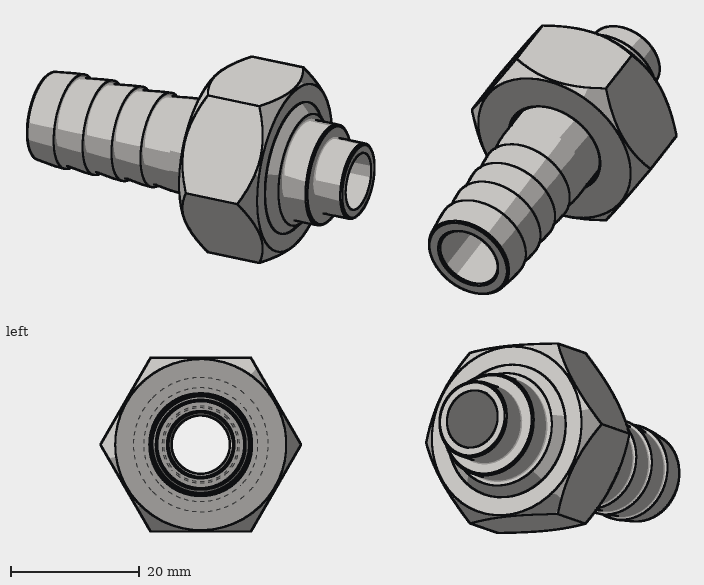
import cadquery as cq
import math

overall_length = 54.0
nut_start = 29.5
nut_length = 13.5
nut_end = nut_start + nut_length
thread_end = 44.5
shoulder_end = 49.0

hose_diameter = 15.0
barb_root_diameter = 14.0
hose_bore = 10.0
barbed_length = 25.0
barb_count = 5
barb_bulge = 0.09
barb_fillet = 0.45
collar_length = 3.25

across_flats = 27.0
nut_face_diameter = 26.55
nut_neck_bore = 15.5
nut_wall = 3.25

thread_diameter = 20.9
thread_tip_diameter = 17.7
shoulder_diameter = 16.0
spigot_diameter = 12.0
nipple_bore = 9.0
step_fillet = 0.5

edge_chamfer = 0.25

hose_radius = hose_diameter / 2
root_radius = barb_root_diameter / 2
thread_radius = thread_diameter / 2
barb_pitch = barbed_length / barb_count
collar_start = nut_start + nut_wall
collar_end = collar_start + collar_length


def revolve_about_x(profile):
    """Turn a closed XY profile around the X axis."""
    return profile.close().revolve(360, (0, 0, 0), (1, 0, 0))


def concave_fillet(profile, x, radius, size):
    """Blend from a face at x into a cylinder of the given radius on its +X side."""
    inset = size * (1 - math.sqrt(0.5))
    return profile.threePointArc((x + inset, radius + inset), (x + size, radius))


def make_hose_tail():
    bore_radius = hose_bore / 2
    profile = (
        cq.Workplane("XY")
        .moveTo(edge_chamfer, bore_radius)
        .lineTo(0, bore_radius + edge_chamfer)
        .lineTo(0, root_radius - edge_chamfer)
        .lineTo(edge_chamfer, root_radius)
    )
    flank_start = edge_chamfer
    for barb in range(barb_count):
        crest = (barb + 1) * barb_pitch
        middle = ((flank_start + crest) / 2, (root_radius + hose_radius) / 2 + barb_bulge)
        profile = profile.threePointArc(middle, (crest, hose_radius))
        if barb < barb_count - 1:
            profile = profile.lineTo(crest, root_radius + barb_fillet)
            profile = concave_fillet(profile, crest, root_radius, barb_fillet)
            flank_start = crest + barb_fillet
    profile = (
        profile.lineTo(collar_start, hose_radius)
        .lineTo(collar_start, thread_radius)
        .lineTo(collar_end, thread_radius)
        .lineTo(collar_end, bore_radius)
    )
    return revolve_about_x(profile)


def make_nut():
    corner_diameter = across_flats / math.cos(math.radians(30))
    corner_radius = corner_diameter / 2
    face_radius = nut_face_diameter / 2
    corner_chamfer = corner_radius - face_radius
    neck_radius = nut_neck_bore / 2

    hexagon = cq.Workplane("YZ", origin=(nut_start, 0, 0)).polygon(6, corner_diameter).extrude(nut_length)
    envelope = revolve_about_x(
        cq.Workplane("XY")
        .moveTo(nut_start, neck_radius + edge_chamfer)
        .lineTo(nut_start, face_radius)
        .lineTo(nut_start + corner_chamfer, corner_radius)
        .lineTo(nut_end - corner_chamfer, corner_radius)
        .lineTo(nut_end, face_radius)
        .lineTo(nut_end, thread_radius)
        .lineTo(collar_start, thread_radius)
        .lineTo(collar_start, neck_radius)
        .lineTo(nut_start + edge_chamfer, neck_radius)
    )
    return hexagon.intersect(envelope)


def make_nipple():
    bore_radius = nipple_bore / 2
    shoulder_radius = shoulder_diameter / 2
    spigot_radius = spigot_diameter / 2
    bore_taper = (hose_bore - nipple_bore) / 2
    thread_chamfer = (thread_diameter - thread_tip_diameter) / 2

    profile = (
        cq.Workplane("XY")
        .moveTo(collar_end + bore_taper, bore_radius)
        .lineTo(collar_end, hose_bore / 2)
        .lineTo(collar_end, thread_radius)
        .lineTo(thread_end - thread_chamfer, thread_radius)
        .lineTo(thread_end, thread_tip_diameter / 2)
        .lineTo(thread_end, shoulder_radius + step_fillet)
    )
    profile = (
        concave_fillet(profile, thread_end, shoulder_radius, step_fillet)
        .lineTo(shoulder_end - edge_chamfer, shoulder_radius)
        .lineTo(shoulder_end, shoulder_radius - edge_chamfer)
        .lineTo(shoulder_end, spigot_radius + step_fillet)
    )
    profile = (
        concave_fillet(profile, shoulder_end, spigot_radius, step_fillet)
        .lineTo(overall_length - edge_chamfer, spigot_radius)
        .lineTo(overall_length, spigot_radius - edge_chamfer)
        .lineTo(overall_length, bore_radius)
    )
    return revolve_about_x(profile)


hose_tail = make_hose_tail()
nut = make_nut()
nipple = make_nipple()

result = cq.Compound.makeCompound([hose_tail.val(), nut.val(), nipple.val()])